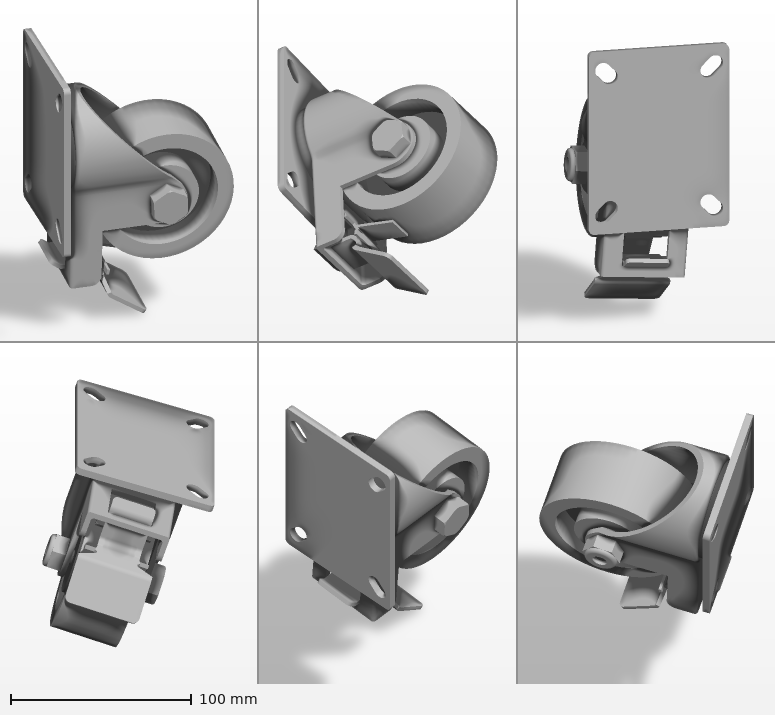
import cadquery as cq
import math

SWIVEL_ANGLE = 4.5

PLATE_WIDTH = 80.0
PLATE_HEIGHT = 105.0
PLATE_THICKNESS = 4.0
PLATE_CORNER = 3.0
SLOT_SPACING_X = 60.0
SLOT_SPACING_Z = 80.0
SLOT_DIAMETER = 8.8
SLOT_TRAVEL = 5.6
SLOT_ANGLE = 45

RING_RADIUS = 28.0
RING_LENGTH = 6.3

SHEET = 3.0
FORK_FRONT = PLATE_THICKNESS + RING_LENGTH
CUP_RADIUS = 30.9
ARM_HALF_WIDTH = 24.0
BLEND_RADIUS = 8.0
FORK_BOTTOM = 82.2
FORK_EDGE = 2.0
ARM_END_RADIUS = 14.0
ARM_END_OFFSET = 2.1
FORK_DEPTH = 72.4
ARM_CUT_ANGLE = 45
SKIRT_BACK = 28.1
SKIRT_CORNER = 5.8
WINDOW_WIDTH = 25.9
WINDOW_TOP = 46.6
WINDOW_BOTTOM = 76.0
WINDOW_CORNER = 1.1

WHEEL_RADIUS = 40.0
WHEEL_WIDTH = 38.0
WHEEL_Y = PLATE_HEIGHT - WHEEL_RADIUS
WHEEL_DROP = 33.1
RIM_INNER_RADIUS = 30.9
HUB_RADIUS = 20.0
RECESS_DEPTH = 14.5

BOLT_RADIUS = 4.2
HEAD_ACROSS_CORNERS = 22.5
HEAD_LENGTH = 8.0
HEAD_TURN = 33
HEAD_CHAMFER = 0.8
NUT_ACROSS_CORNERS = 21.7
NUT_TURN = 4
NUT_HEX_LENGTH = 7.7
NUT_LENGTH = 10.1
NUT_COLLAR_RADIUS = 9.3
NUT_COLLAR_ROUND = 1.8
BOLT_END_RECESS = 2.5

PIN_RADIUS = 1.5
PIN_Y = 19.0
PIN_DROP = 39.0

SHOE_SHEET = 1.6
SHOE_BEND = 0.6
LEAF_WIDTH = 32.2
LEAF_BOTTOM = 62.2
TONGUE_WIDTH = 15.8
HOOK_WIDTH = 37.0
EYE_RADIUS = 3.0
SHOE_FOLD = (27.8, 64.0)
SHOE_TIP = (51.8, 71.1)
HOOK_FOLD = (34.7, 76.7)
HOOK_END = (34.1, 79.8)

PEDAL_SHEET = 2.4
PEDAL_WIDTH = 43.1
PEDAL_TAB_WIDTH = 24.8
PEDAL_PATH = [(3.0, 69.5), (8.2, 73.3), (27.8, 73.3), (31.7, 77.7), (35.2, 90.7), (56.5, 105.2)]
PEDAL_BEND = 2.3
PEDAL_TAB_CORNER = 2.3
PEDAL_TOE_CORNER = 3.5
PEDAL_TRIM_MARGIN = 16.1
PEDAL_EAR_WIDTH = 26.4
PEDAL_EAR_DROP = 82.3
PEDAL_NECK_WIDTH = 23.8
PEDAL_NECK_TOP = 83.6
PEDAL_NECK_BOTTOM = 85.0
PEDAL_SHOULDER_DROP = 89.6


def across_fork(outline_yz, width):
    """Extrudes a closed (Y, Z) sketch across the fork, centred on X = 0."""
    return outline_yz.extrude(width / 2, both=True)


def axle_cylinder(radius, x_start, length):
    """A cylinder on the wheel axis, running from x_start along X."""
    return (
        cq.Workplane("YZ", origin=(x_start, WHEEL_Y, -WHEEL_DROP)).circle(radius).extrude(length)
    )


def hex_prism(across_corners, x_start, length, turn):
    """A hexagon on the wheel axis with two corners toward +Y and -Y before turning."""
    return (
        cq.Workplane("YZ", origin=(x_start, WHEEL_Y, -WHEEL_DROP))
        .transformed(rotate=(0, 0, turn))
        .polygon(6, across_corners)
        .extrude(length)
    )


def unit(start, end):
    length = math.dist(start, end)
    return ((end[0] - start[0]) / length, (end[1] - start[1]) / length)


def offset_path(path, distance):
    """Shifts an open (Y, drop) polyline sideways, keeping its segments parallel."""
    directions = [unit(a, b) for a, b in zip(path, path[1:])]
    incoming = [directions[0]] + directions
    outgoing = directions + [directions[-1]]
    shifted = []
    for (y, drop), (ay, ad), (by, bd) in zip(path, incoming, outgoing):
        reach = distance / (1 + ay * by + ad * bd)
        shifted.append((y - reach * (ad + bd), drop + reach * (ay + by)))
    return shifted


def near(y, drop, x=0):
    return cq.NearestToPointSelector((x, y, -drop))


def folded_sheet(path, thickness, bend, width):
    """A folded sheet with one face on the (Y, drop) path. A positive thickness lies below a stretch
    that runs toward +Y, a negative one lies above it. The bend is the inner radius of each fold."""
    other_face = offset_path(path, thickness)
    outline = path + other_face[::-1]
    sheet = across_fork(cq.Workplane("YZ").polyline([(y, -drop) for y, drop in outline]).close(), width)
    for index in range(1, len(path) - 1):
        before = unit(path[index - 1], path[index])
        after = unit(path[index], path[index + 1])
        turn = before[0] * after[1] - before[1] * after[0]
        inside, outside = path[index], other_face[index]
        if turn * thickness > 0:
            inside, outside = outside, inside
        sheet = sheet.edges("|X").edges(near(*inside)).fillet(bend)
        sheet = sheet.edges("|X").edges(near(*outside)).fillet(bend + abs(thickness))
    return sheet


def make_plate():
    plate = (
        cq.Workplane("XZ")
        .rect(PLATE_WIDTH, PLATE_HEIGHT)
        .extrude(-PLATE_THICKNESS)
        .edges("|Y")
        .fillet(PLATE_CORNER)
    )
    for side_x in (-1, 1):
        for side_z in (-1, 1):
            slot = (
                cq.Workplane("XZ")
                .center(side_x * SLOT_SPACING_X / 2, side_z * SLOT_SPACING_Z / 2)
                .slot2D(SLOT_DIAMETER + SLOT_TRAVEL, SLOT_DIAMETER, side_x * side_z * SLOT_ANGLE)
                .extrude(-PLATE_THICKNESS)
            )
            plate = plate.cut(slot)
    return plate


def make_ring():
    return cq.Workplane("XZ", origin=(0, PLATE_THICKNESS, 0)).circle(RING_RADIUS).extrude(-RING_LENGTH)


def fork_block():
    """The solid arched section: a round cup flowing into two flat arms, with a rounded front rim."""
    blend_x = ARM_HALF_WIDTH + BLEND_RADIUS
    blend_reach = CUP_RADIUS + BLEND_RADIUS
    blend_drop = math.sqrt(blend_reach**2 - blend_x**2)
    turn = math.asin(blend_drop / blend_reach)
    cup_x = CUP_RADIUS * math.cos(turn)
    cup_z = -CUP_RADIUS * math.sin(turn)
    middle_x = blend_x - BLEND_RADIUS * math.cos(turn / 2)
    middle_z = -blend_drop + BLEND_RADIUS * math.sin(turn / 2)
    return (
        cq.Workplane("XZ", origin=(0, FORK_FRONT, 0))
        .moveTo(ARM_HALF_WIDTH, -FORK_BOTTOM)
        .lineTo(ARM_HALF_WIDTH, -blend_drop)
        .threePointArc((middle_x, middle_z), (cup_x, cup_z))
        .threePointArc((0, CUP_RADIUS), (-cup_x, cup_z))
        .threePointArc((-middle_x, middle_z), (-ARM_HALF_WIDTH, -blend_drop))
        .lineTo(-ARM_HALF_WIDTH, -FORK_BOTTOM)
        .close()
        .extrude(-FORK_DEPTH)
        .faces("<Y")
        .edges("not <Z")
        .fillet(FORK_EDGE)
    )


def fork_cavity():
    """The room inside the cup and between the arms, open at the bottom and the back."""
    inner_front = cq.Workplane("XZ", origin=(0, FORK_FRONT + SHEET, 0))
    cup = inner_front.circle(CUP_RADIUS - SHEET).extrude(-FORK_DEPTH)
    gap = (
        inner_front.center(0, -FORK_BOTTOM / 2)
        .rect(2 * (ARM_HALF_WIDTH - SHEET), FORK_BOTTOM)
        .extrude(-FORK_DEPTH)
    )
    return cup.union(gap).faces("<Y").edges("not <Z").fillet(FORK_EDGE)


def fork_side_profile():
    """The fork's outline seen along X: cup, 45 degree cut, rounded arm end and lower skirt."""
    slope = math.radians(ARM_CUT_ANGLE)
    end_y = WHEEL_Y - ARM_END_OFFSET
    end_bottom = -WHEEL_DROP - ARM_END_RADIUS
    tangent = (
        end_y + ARM_END_RADIUS * math.sin(slope),
        -WHEEL_DROP + ARM_END_RADIUS * math.cos(slope),
    )
    cup_back = tangent[0] - (CUP_RADIUS - tangent[1]) / math.tan(slope)
    arm_tip = (
        end_y + ARM_END_RADIUS * math.cos(slope / 2),
        -WHEEL_DROP - ARM_END_RADIUS * math.sin(slope / 2),
    )
    sketch = (
        cq.Workplane("YZ")
        .moveTo(FORK_FRONT, -FORK_BOTTOM)
        .lineTo(FORK_FRONT, CUP_RADIUS)
        .lineTo(cup_back, CUP_RADIUS)
        .lineTo(*tangent)
        .threePointArc(arm_tip, (end_y, end_bottom))
        .lineTo(SKIRT_BACK, end_bottom)
        .lineTo(SKIRT_BACK, -FORK_BOTTOM)
        .close()
    )
    profile = across_fork(sketch, 2 * CUP_RADIUS)
    return profile.edges("|X").edges(near(SKIRT_BACK, FORK_BOTTOM)).fillet(SKIRT_CORNER)


def make_fork():
    fork = fork_block().intersect(fork_side_profile()).cut(fork_cavity())
    window = (
        cq.Workplane("XZ", origin=(0, FORK_FRONT, -(WINDOW_TOP + WINDOW_BOTTOM) / 2))
        .rect(WINDOW_WIDTH, WINDOW_BOTTOM - WINDOW_TOP)
        .extrude(-SHEET)
        .edges("|Y")
        .fillet(WINDOW_CORNER)
    )
    fork = fork.cut(window)
    fork = fork.cut(axle_cylinder(BOLT_RADIUS, -ARM_HALF_WIDTH, 2 * ARM_HALF_WIDTH))
    return fork.cut(make_pin())


def make_wheel():
    wheel = axle_cylinder(WHEEL_RADIUS, -WHEEL_WIDTH / 2, WHEEL_WIDTH)
    for recess_start in (-WHEEL_WIDTH / 2, WHEEL_WIDTH / 2 - RECESS_DEPTH):
        recess = axle_cylinder(RIM_INNER_RADIUS, recess_start, RECESS_DEPTH)
        wheel = wheel.cut(recess.cut(axle_cylinder(HUB_RADIUS, recess_start, RECESS_DEPTH)))
    return wheel.cut(axle_cylinder(BOLT_RADIUS, -WHEEL_WIDTH / 2, WHEEL_WIDTH))


def make_bolt():
    shank_start = -ARM_HALF_WIDTH - NUT_LENGTH + BOLT_END_RECESS
    shank = axle_cylinder(BOLT_RADIUS, shank_start, ARM_HALF_WIDTH - shank_start)
    cone = axle_cylinder(HEAD_ACROSS_CORNERS / 2, ARM_HALF_WIDTH, HEAD_LENGTH)
    cone = cone.faces(">X").chamfer(HEAD_CHAMFER)
    head = hex_prism(HEAD_ACROSS_CORNERS, ARM_HALF_WIDTH, HEAD_LENGTH, HEAD_TURN).intersect(cone)
    return shank.union(head)


def make_nut():
    end_x = -ARM_HALF_WIDTH - NUT_LENGTH
    hexagon = hex_prism(NUT_ACROSS_CORNERS, -ARM_HALF_WIDTH - NUT_HEX_LENGTH, NUT_HEX_LENGTH, NUT_TURN)
    collar = (
        axle_cylinder(NUT_COLLAR_RADIUS, end_x, NUT_LENGTH)
        .faces("<X")
        .edges()
        .fillet(NUT_COLLAR_ROUND)
    )
    return hexagon.union(collar).cut(axle_cylinder(BOLT_RADIUS, end_x, NUT_LENGTH))


def make_pin():
    sketch = cq.Workplane("YZ", origin=(0, PIN_Y, -PIN_DROP)).circle(PIN_RADIUS)
    return across_fork(sketch, 2 * ARM_HALF_WIDTH)


def make_shoe():
    """A leaf hung from the pin, folded back under the wheel, with a hooked tongue below."""
    eye_sketch = cq.Workplane("YZ", origin=(0, PIN_Y, -PIN_DROP)).circle(EYE_RADIUS)
    eye = across_fork(eye_sketch, LEAF_WIDTH)

    leaf_inset = EYE_RADIUS - SHOE_SHEET
    slope = math.atan2(SHOE_FOLD[0] - PIN_Y, SHOE_FOLD[1] - PIN_DROP)
    slope += math.asin(leaf_inset / math.dist(SHOE_FOLD, (PIN_Y, PIN_DROP)))
    leaf_top = (PIN_Y - leaf_inset * math.cos(slope), PIN_DROP + leaf_inset * math.sin(slope))
    leaf_end = (SHOE_FOLD[0] - (SHOE_FOLD[1] - LEAF_BOTTOM) * math.tan(slope), LEAF_BOTTOM)
    leaf = folded_sheet([leaf_end, leaf_top], -SHOE_SHEET, SHOE_BEND, LEAF_WIDTH)

    strip = folded_sheet([SHOE_TIP, SHOE_FOLD, leaf_top], -SHOE_SHEET, SHOE_BEND, TONGUE_WIDTH)
    tongue = folded_sheet([SHOE_FOLD, HOOK_FOLD, HOOK_END], SHOE_SHEET, SHOE_BEND, TONGUE_WIDTH)
    hook = folded_sheet([HOOK_FOLD, HOOK_END], SHOE_SHEET, SHOE_BEND, HOOK_WIDTH)
    return eye.union(leaf).union(strip).union(tongue).union(hook).cut(make_pin())


def pedal_planform():
    """A block with the pedal's tab, ears, neck and shoulders as its outline, square to the neck."""
    half_outline = [
        (PEDAL_TAB_WIDTH / 2, PEDAL_PATH[0][1] - PEDAL_TRIM_MARGIN),
        (PEDAL_TAB_WIDTH / 2, PEDAL_EAR_DROP - PEDAL_SHEET),
        (PEDAL_EAR_WIDTH / 2, PEDAL_EAR_DROP),
        (PEDAL_NECK_WIDTH / 2, PEDAL_NECK_TOP),
        (PEDAL_NECK_WIDTH / 2, PEDAL_NECK_BOTTOM),
        (PEDAL_WIDTH / 2, PEDAL_SHOULDER_DROP),
        (PEDAL_WIDTH / 2, PEDAL_PATH[-1][1] + PEDAL_TRIM_MARGIN),
    ]
    right = [(x, -drop) for x, drop in half_outline]
    left = [(-x, z) for x, z in reversed(right)]
    neck_top, neck_bottom = PEDAL_PATH[3:5]
    neck_slope = math.degrees(math.atan2(neck_bottom[0] - neck_top[0], neck_bottom[1] - neck_top[1]))
    pivot = (0, neck_bottom[0], -neck_bottom[1])
    block = (
        cq.Workplane("XZ", origin=(0, neck_bottom[0], 0))
        .polyline(right + left)
        .close()
        .extrude(PLATE_HEIGHT / 2, both=True)
    )
    return block.rotate(pivot, (1, pivot[1], pivot[2]), neck_slope)


def make_pedal():
    sheet = folded_sheet(PEDAL_PATH, PEDAL_SHEET, PEDAL_BEND, PEDAL_WIDTH)
    pedal = sheet.intersect(pedal_planform())
    tab_end, toe_end = PEDAL_PATH[0], PEDAL_PATH[-1]
    for side in (-1, 1):
        pedal = pedal.edges(near(*tab_end, side * PEDAL_TAB_WIDTH / 2)).fillet(PEDAL_TAB_CORNER)
        pedal = pedal.edges(near(*toe_end, side * PEDAL_WIDTH / 2)).fillet(PEDAL_TOE_CORNER)
    return pedal


plate = make_plate()
ring = make_ring()
swivelling = [make_fork(), make_wheel(), make_bolt(), make_nut(), make_pin(), make_shoe(), make_pedal()]
turned = [body.rotate((0, 0, 0), (0, 1, 0), SWIVEL_ANGLE).val() for body in swivelling]

result = cq.Compound.makeCompound([plate.val(), ring.val(), *turned])